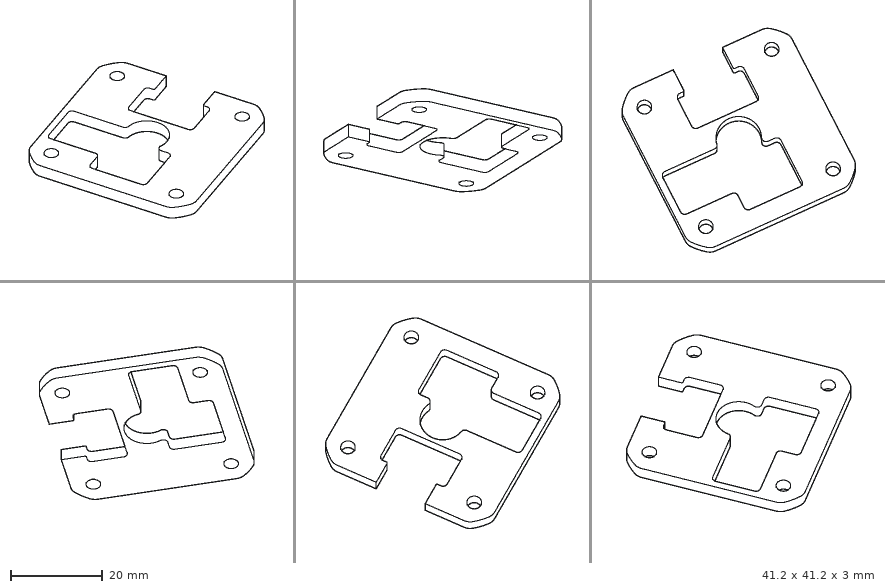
import cadquery as cq
import math

side = 41.2
thickness = 3.0
half = side / 2

corner_apex_distance = 26.55
corner_arc_radius = 13.5
corner_blend = 3.0

hole_pitch = 31.0
hole_diameter = 3.2

cutout_half_width = 8.1
cutout_round = 1.0

notch_mouth_half_width = 6.0
notch_shoulder_y = 15.0
notch_floor_y = 6.0
lip_round = 0.3

bore_radius = 5.0
side_bay_left = -19.0
side_bay_top = 0.0
side_bay_bottom = -11.0
lower_bay_left = -6.0
lower_bay_top = -3.5
lower_bay_bottom = -16.1


def round_uprights(body, points, radius):
    """Fillet the vertical edges standing at the given XY points."""
    reach = 0.01
    for x, y in points:
        around_point = cq.selectors.BoxSelector(
            (x - reach, y - reach, -reach),
            (x + reach, y + reach, thickness + reach),
        )
        body = body.edges("|Z").edges(around_point).fillet(radius)
    return body


def make_plate():
    """Square plate whose corners are cut by shallow arcs, blended into the straight sides."""
    apex = corner_apex_distance / math.sqrt(2)
    arc_centre = (corner_apex_distance - corner_arc_radius) / math.sqrt(2)
    arc_end = arc_centre + math.sqrt(corner_arc_radius**2 - (half - arc_centre) ** 2)
    plate = (
        cq.Workplane("XY")
        .moveTo(half, -arc_end)
        .lineTo(half, arc_end)
        .threePointArc((apex, apex), (arc_end, half))
        .lineTo(-arc_end, half)
        .threePointArc((-apex, apex), (-half, arc_end))
        .lineTo(-half, -arc_end)
        .threePointArc((-apex, -apex), (-arc_end, -half))
        .lineTo(arc_end, -half)
        .threePointArc((apex, -apex), (half, -arc_end))
        .close()
        .extrude(thickness)
    )
    return plate.edges("|Z").fillet(corner_blend)


def make_holes():
    """Four through holes on a square pattern."""
    centres = cq.Workplane("XY").rect(hole_pitch, hole_pitch, forConstruction=True).vertices()
    return centres.circle(hole_diameter / 2).extrude(thickness)


def make_notch():
    """Wide pocket reached through a narrower mouth in the +Y side."""
    mouth_lips = []
    pocket_corners = []
    for sign in (-1, 1):
        mouth_lips.append((sign * notch_mouth_half_width, notch_shoulder_y))
        pocket_corners.append((sign * cutout_half_width, notch_shoulder_y))
        pocket_corners.append((sign * cutout_half_width, notch_floor_y))
    notch = (
        cq.Workplane("XY")
        .moveTo(-notch_mouth_half_width, half)
        .lineTo(-notch_mouth_half_width, notch_shoulder_y)
        .lineTo(-cutout_half_width, notch_shoulder_y)
        .lineTo(-cutout_half_width, notch_floor_y)
        .lineTo(cutout_half_width, notch_floor_y)
        .lineTo(cutout_half_width, notch_shoulder_y)
        .lineTo(notch_mouth_half_width, notch_shoulder_y)
        .lineTo(notch_mouth_half_width, half)
        .close()
        .extrude(thickness)
    )
    notch = round_uprights(notch, pocket_corners, cutout_round)
    return round_uprights(notch, mouth_lips, lip_round)


def make_window():
    """Through window joining the side bay, the lower bay and the central bore."""
    bore_start_x = -math.sqrt(bore_radius**2 - side_bay_top**2)
    bore_end_x = math.sqrt(bore_radius**2 - lower_bay_top**2)
    window = (
        cq.Workplane("XY")
        .moveTo(bore_start_x, side_bay_top)
        .threePointArc((0, bore_radius), (bore_end_x, lower_bay_top))
        .lineTo(cutout_half_width, lower_bay_top)
        .lineTo(cutout_half_width, lower_bay_bottom)
        .lineTo(lower_bay_left, lower_bay_bottom)
        .lineTo(lower_bay_left, side_bay_bottom)
        .lineTo(side_bay_left, side_bay_bottom)
        .lineTo(side_bay_left, side_bay_top)
        .close()
        .extrude(thickness)
    )
    return window.edges("|Z").fillet(cutout_round)


result = make_plate().cut(make_holes()).cut(make_notch()).cut(make_window())